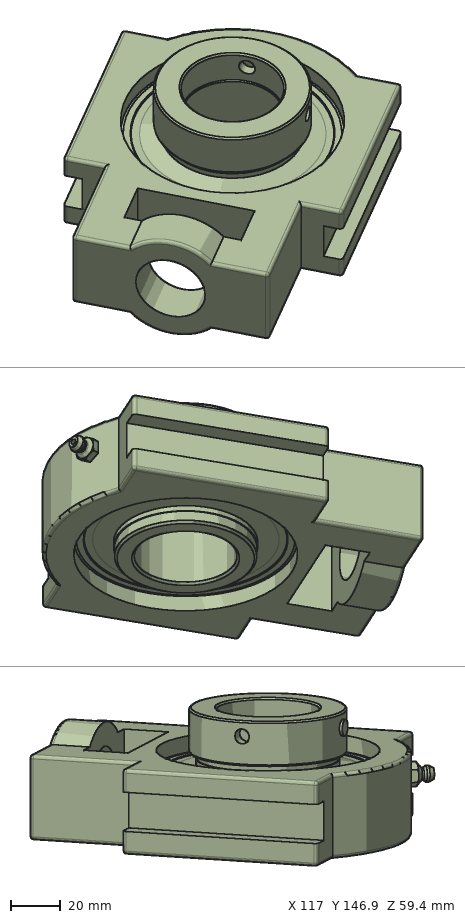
import cadquery as cq
import math


thickness = 34.8
wing_half_width = 58.5
wing_half_length = 41.5
body_half_width = 41.2
front_y = -87.12
crown_radius = 57.6
edge_radius = 1.5
guide_slot_width = 16.0
guide_slot_depth = 7.9
window_width = 49.0
window_near_y = -51.05
window_far_y = -69.85

boss_diameter = 48.84
boss_hole_diameter = 29.0

counterbore_diameter = 89.84
outer_ring_half_width = 10.7
outer_ring_face_diameter = 87.8
race_bore_diameter = 71.38
shield_diameter = 81.5
shield_recess_depth = 1.5
recess_chamfer = 0.35

shield_flat_diameter = 74.93
shield_thickness = 0.8
shield_rim_drop = 0.35
shield_cone_rise = 1.3

shaft_diameter = 41.27
inner_ring_diameter = 57.91
inner_ring_end_diameter = 57.15
inner_ring_bottom = -19.2
inner_ring_step = 14.0
neck_diameter = 50.29
neck_top = 21.3
ring_chamfer = 1.0

collar_diameter = 63.5
collar_top = 34.97
collar_bottom = 16.5
collar_chamfer = 0.75
screw_diameter = 6.78
screw_z = 28.6
screw_inner_end = 25.0
screw_outer_end = 32.8
spanner_hole_diameter = 6.0
spanner_hole_depth = 6.0

fitting_angle = 120.0
fitting_z = 5.56
stem_diameter = 6.0
stem_length = 8.0
hex_across_flats = 9.0
hex_height = 3.2
hex_top_chamfer = 0.5
shoulder_base_diameter = 9.0
shoulder_end = 62.2
neck_start = 62.6
fitting_neck_diameter = 5.2
neck_end = 63.4
head_diameter = 6.78
head_start = 64.5
head_taper_start = 65.6
fitting_tip = 67.63
tip_diameter = 4.7
grease_hole_diameter = 2.26
grease_hole_depth = 2.0

half_thickness = thickness / 2
collar_radius = collar_diameter / 2
shaft_radius = shaft_diameter / 2
seat_sphere_radius = math.hypot(outer_ring_face_diameter / 2, outer_ring_half_width)
hex_top = crown_radius + hex_height


def revolve_about_z(points):
    """Solid of revolution from a closed profile of (radius, z) points."""
    return cq.Workplane("XZ").polyline(points).close().revolve(360, (0, 0, 0), (0, 1, 0))


def cylinder(diameter, bottom, top):
    return cq.Workplane("XY").workplane(offset=bottom).circle(diameter / 2).extrude(top - bottom)


def fitting_place(shape):
    """Turn a shape built along Z so that it points outward along the grease fitting axis."""
    turned = shape.rotate((0, 0, 0), (0, 1, 0), 90)
    return turned.rotate((0, 0, 0), (0, 0, 1), fitting_angle).translate((0, 0, fitting_z))


def make_outer_ring():
    """Spherical outer ring with a shield recess in each end face."""
    width = 2 * outer_ring_half_width
    ring = cq.Workplane("XY").sphere(seat_sphere_radius)
    ring = ring.intersect(cylinder(2 * crown_radius, -outer_ring_half_width, outer_ring_half_width))
    ring = ring.cut(cylinder(race_bore_diameter, -width, width))
    recess_floor = outer_ring_half_width - shield_recess_depth
    shield_radius = shield_diameter / 2
    recess = revolve_about_z([
        (0, recess_floor),
        (shield_radius, recess_floor),
        (shield_radius, outer_ring_half_width - recess_chamfer),
        (shield_radius + recess_chamfer, outer_ring_half_width),
        (0, outer_ring_half_width),
    ])
    return ring.cut(recess).cut(recess.mirror("XY"))


def make_shield():
    """Upper shield: a flat rim that rises as a cone towards the inner ring."""
    floor = outer_ring_half_width - shield_recess_depth
    rim_top = outer_ring_half_width - shield_rim_drop
    cone_top = rim_top + shield_cone_rise
    return revolve_about_z([
        (shield_diameter / 2, floor),
        (shield_diameter / 2, rim_top),
        (shield_flat_diameter / 2, rim_top),
        (inner_ring_diameter / 2, cone_top),
        (inner_ring_diameter / 2, cone_top - shield_thickness),
        (shield_flat_diameter / 2, floor),
    ])


def make_inner_ring():
    """Inner ring, stepped down at both ends, with a neck that carries the locking collar."""
    middle_radius = inner_ring_diameter / 2
    end_radius = inner_ring_end_diameter / 2
    return revolve_about_z([
        (shaft_radius, inner_ring_bottom + ring_chamfer),
        (shaft_radius + ring_chamfer, inner_ring_bottom),
        (end_radius - ring_chamfer, inner_ring_bottom),
        (end_radius, inner_ring_bottom + ring_chamfer),
        (end_radius, -inner_ring_step),
        (middle_radius, -inner_ring_step),
        (middle_radius, inner_ring_step),
        (end_radius, inner_ring_step),
        (end_radius, collar_bottom),
        (neck_diameter / 2, collar_bottom),
        (neck_diameter / 2, neck_top),
        (shaft_radius + ring_chamfer, neck_top),
        (shaft_radius, neck_top - ring_chamfer),
    ])


def make_set_screw_rod(inner_y, outer_y):
    """Cylinder along Y at the height of the set screw."""
    rod = cq.Workplane("XZ", origin=(0, inner_y, screw_z)).circle(screw_diameter / 2)
    return rod.extrude(inner_y - outer_y)


def make_collar():
    """Locking collar with a neck socket, a set screw hole and a blind spanner hole."""
    collar = revolve_about_z([
        (shaft_radius, neck_top),
        (shaft_radius, collar_top - collar_chamfer),
        (shaft_radius + collar_chamfer, collar_top),
        (collar_radius - collar_chamfer, collar_top),
        (collar_radius, collar_top - collar_chamfer),
        (collar_radius, collar_bottom + collar_chamfer),
        (collar_radius - collar_chamfer, collar_bottom),
        (neck_diameter / 2, collar_bottom),
        (neck_diameter / 2, neck_top),
    ])
    spanner_hole = cq.Workplane("YZ", origin=(collar_radius - spanner_hole_depth, 0, screw_z))
    spanner_hole = spanner_hole.circle(spanner_hole_diameter / 2).extrude(spanner_hole_depth)
    return collar.cut(make_set_screw_rod(0, collar_diameter)).cut(spanner_hole)


def make_grease_fitting():
    """Grease nipple: stem, hexagon, conical shoulder, neck and a tapered head with a grease hole."""
    stem_radius = stem_diameter / 2
    turned_part = revolve_about_z([
        (0, crown_radius - stem_length),
        (stem_radius, crown_radius - stem_length),
        (stem_radius, hex_top),
        (shoulder_base_diameter / 2, hex_top),
        (stem_radius, shoulder_end),
        (fitting_neck_diameter / 2, neck_start),
        (fitting_neck_diameter / 2, neck_end),
        (head_diameter / 2, head_start),
        (head_diameter / 2, head_taper_start),
        (tip_diameter / 2, fitting_tip),
        (0, fitting_tip),
    ])
    across_corners = hex_across_flats / math.cos(math.pi / 6)
    hexagon = cq.Workplane("XY").workplane(offset=crown_radius).polygon(6, across_corners).extrude(hex_height)
    hex_envelope = cylinder(across_corners, crown_radius, hex_top).faces(">Z").chamfer(hex_top_chamfer)
    hexagon = hexagon.intersect(hex_envelope)
    grease_hole = cylinder(grease_hole_diameter, fitting_tip - grease_hole_depth, fitting_tip)
    return fitting_place(turned_part.union(hexagon).cut(grease_hole))


def rounded_plate(width, near_y, far_y):
    """Rectangular plate of the housing thickness with its upright and outline edges rounded."""
    length = far_y - near_y
    plate = cq.Workplane("XY").box(width, length, thickness).edges().fillet(edge_radius)
    return plate.translate((0, (near_y + far_y) / 2, 0))


def make_housing_block():
    """T-shaped block with a rounded crown, wings and a front screw boss, edges rounded."""
    wings = rounded_plate(2 * wing_half_width, -wing_half_length, wing_half_length)
    body = rounded_plate(2 * body_half_width, front_y, 0)
    crown = cylinder(2 * crown_radius, -half_thickness, half_thickness).edges().fillet(edge_radius)
    boss_length = window_far_y - front_y
    boss = cq.Workplane("XZ", origin=(0, window_far_y, 0)).circle(boss_diameter / 2).extrude(boss_length)
    boss = boss.faces("<Y").edges().fillet(edge_radius)
    return wings.union(body).union(crown).union(boss)


def make_housing():
    housing = make_housing_block()

    slot_length = 2 * wing_half_length
    for side in (-1, 1):
        slot = cq.Workplane("XY").box(2 * guide_slot_depth, slot_length, guide_slot_width)
        housing = housing.cut(slot.translate((side * wing_half_width, 0, 0)))

    window_length = window_near_y - window_far_y
    window_centre_y = (window_near_y + window_far_y) / 2
    window = cq.Workplane("XY").box(window_width, window_length, boss_diameter)
    housing = housing.cut(window.translate((0, window_centre_y, 0)))
    boss_hole = cq.Workplane("XZ", origin=(0, window_far_y, 0)).circle(boss_hole_diameter / 2)
    housing = housing.cut(boss_hole.extrude(window_far_y - front_y))

    counterbore = cylinder(counterbore_diameter, outer_ring_half_width, half_thickness)
    seat = cq.Workplane("XY").sphere(seat_sphere_radius)
    seat = seat.intersect(cylinder(2 * crown_radius, -outer_ring_half_width, outer_ring_half_width))
    housing = housing.cut(seat).cut(counterbore).cut(counterbore.mirror("XY"))

    stem_hole = cylinder(stem_diameter, crown_radius - stem_length, crown_radius)
    return housing.cut(fitting_place(stem_hole))


housing = make_housing()
outer_ring = make_outer_ring()
inner_ring = make_inner_ring()
upper_shield = make_shield()
lower_shield = upper_shield.mirror("XY")
collar = make_collar()
set_screw = make_set_screw_rod(screw_inner_end, screw_outer_end)
grease_fitting = make_grease_fitting()

result = cq.Compound.makeCompound([
    housing.val(),
    outer_ring.val(),
    inner_ring.val(),
    upper_shield.val(),
    lower_shield.val(),
    collar.val(),
    set_screw.val(),
    grease_fitting.val(),
])